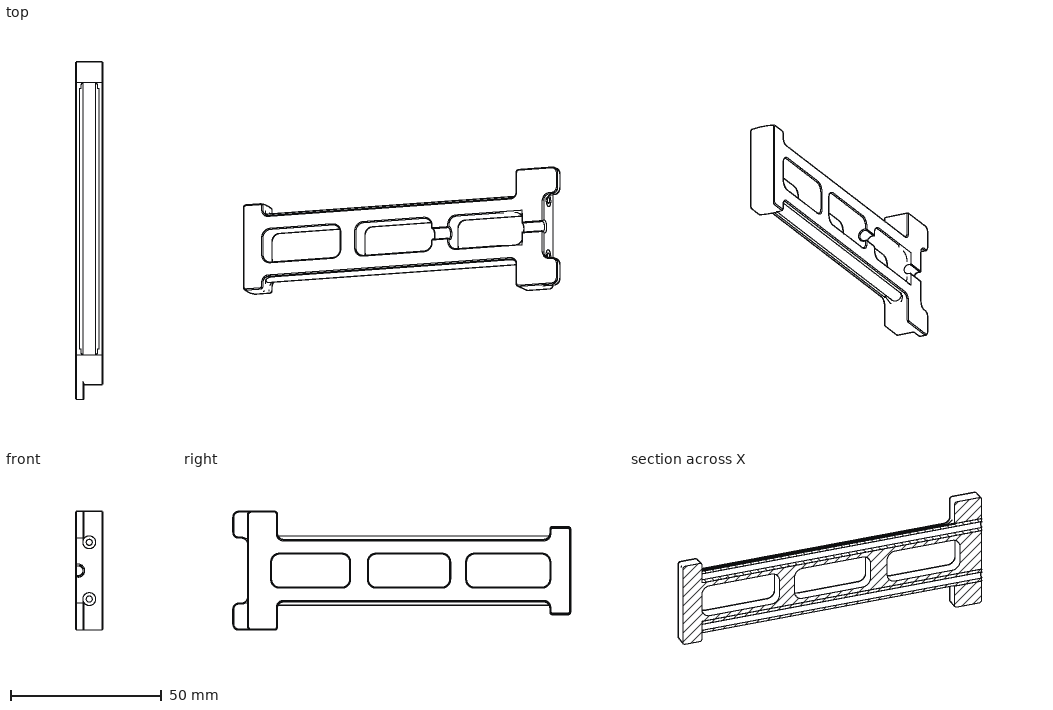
import cadquery as cq
import math

LENGTH = 112.0
HEIGHT = 39.4
THICKNESS = 9.0
Y_BACK = LENGTH / 2
Y_TIP = -LENGTH / 2
X_OUTER = -THICKNESS / 2

BACK_BLOCK_LENGTH = 7.0
BACK_BLOCK_HEIGHT = 29.3
RAIL_HEIGHT = 21.0
CROWN = 0.3
HEAD_LENGTH = 9.9
PRONG_LENGTH = 4.9
PRONG_THICKNESS = 2.8
PRONG_GAP = 21.5
ROOT_RADIUS = 2.0
PRONG_RADIUS = 2.0
CORNER_RADIUS = 0.9
HEAD_FRONT_RADIUS = 1.1
EDGE_CHAMFER = 0.3
NOTCH_BEVEL = 0.6

Y_BACK_BLOCK = Y_BACK - BACK_BLOCK_LENGTH
Y_HEAD_FRONT = Y_TIP + PRONG_LENGTH
Y_HEAD_REAR = Y_HEAD_FRONT + HEAD_LENGTH

WINDOWS = [(21.5, 49.0), (-11.1, 15.9), (-43.1, -17.2)]
WINDOW_HEIGHT = 11.0
WINDOW_RADIUS = 2.7
WINDOW_CHAMFER = 0.3
SQUARE_END_DEPTH = 1.3
SQUARE_END_RADIUS = 0.1

RIB_CHANNEL_DIAMETER = 3.7
HEAD_CHANNEL_DIAMETER = 3.2
CHANNEL_AXIS_X = X_OUTER + 0.8
CHANNEL_LIP = 0.2
RIB_MOUTH_CHAMFER = 0.3
HEAD_MOUTH_CHAMFER = 0.6

ROD_DIAMETER = 4.3
ROD_BORE = 2.0
ROD_Z = 9.4
Y_ROD_BACK = Y_BACK_BLOCK

GROOVE_SLOPE = 57.0
GROOVE_FLARE_LIMIT = 3.4
GROOVE_END_WIDTH = 5.6
GROOVE_END_RADIUS = 1.1

REACH = 0.01


def rectangle(y_min, y_max, height, x_min, x_max):
    """Block between two Y and two X limits, centred on Z = 0."""
    return cq.Workplane("XY").box(
        x_max - x_min, y_max - y_min, height, centered=False
    ).translate((x_min, y_min, -height / 2))


def crowned_bar(y_min, y_max, height):
    """Bar along Y whose top and bottom are crowned across the thickness."""
    crest = height / 2
    shoulder = crest - CROWN
    section = (
        cq.Workplane("XZ", origin=(0, y_max, 0))
        .moveTo(X_OUTER, -shoulder)
        .threePointArc((0, -crest), (-X_OUTER, -shoulder))
        .lineTo(-X_OUTER, shoulder)
        .threePointArc((0, crest), (X_OUTER, shoulder))
        .close()
    )
    return section.extrude(y_max - y_min)


def cylinder(x, z, diameter, y_min, y_max):
    """Cylinder along Y."""
    axis = cq.Vector(0, 1, 0)
    return cq.Workplane(
        cq.Solid.makeCylinder(diameter / 2, y_max - y_min, cq.Vector(x, y_min, z), axis)
    )


def round_corners(body, y, half_height, radius):
    """Fillet the two edges across the thickness at (y, +half_height) and (y, -half_height)."""
    for z in (half_height, -half_height):
        corner = cq.selectors.BoxSelector(
            (-THICKNESS, y - REACH, z - CROWN), (THICKNESS, y + REACH, z + CROWN)
        )
        body = body.edges(corner).fillet(radius)
    return body


def make_profile():
    """Back block, rails and head at full thickness."""
    back = crowned_bar(Y_BACK_BLOCK, Y_BACK, BACK_BLOCK_HEIGHT)
    rails = crowned_bar(Y_HEAD_REAR, Y_BACK_BLOCK, RAIL_HEIGHT)
    head = rectangle(Y_HEAD_FRONT, Y_HEAD_REAR, HEIGHT, X_OUTER, -X_OUTER)
    slab = back.union(rails).union(head)
    slab = round_corners(slab, Y_BACK, BACK_BLOCK_HEIGHT / 2, CORNER_RADIUS)
    slab = round_corners(slab, Y_BACK_BLOCK, BACK_BLOCK_HEIGHT / 2, CORNER_RADIUS)
    slab = round_corners(slab, Y_HEAD_REAR, HEIGHT / 2, CORNER_RADIUS)
    slab = round_corners(slab, Y_HEAD_FRONT, HEIGHT / 2, HEAD_FRONT_RADIUS)
    slab = round_corners(slab, Y_BACK_BLOCK, RAIL_HEIGHT / 2, ROOT_RADIUS)
    slab = round_corners(slab, Y_HEAD_REAR, RAIL_HEIGHT / 2, ROOT_RADIUS)
    return slab.faces("<X or >X").chamfer(EDGE_CHAMFER)


def make_prong_plate():
    """Thin forked plate on the -X side of the head."""
    x_max = X_OUTER + PRONG_THICKNESS
    plate = rectangle(Y_TIP, Y_HEAD_REAR, HEIGHT, X_OUTER, x_max)
    plate = plate.cut(rectangle(Y_TIP, Y_HEAD_FRONT, PRONG_GAP, X_OUTER, x_max))
    plate = round_corners(plate, Y_HEAD_REAR, HEIGHT / 2, CORNER_RADIUS)
    plate = round_corners(plate, Y_TIP, HEIGHT / 2, PRONG_RADIUS)
    plate = round_corners(plate, Y_TIP, PRONG_GAP / 2, PRONG_RADIUS)
    plate = round_corners(plate, Y_HEAD_FRONT, PRONG_GAP / 2, PRONG_RADIUS)
    return plate.faces("<X or >X").chamfer(EDGE_CHAMFER)


def groove_prism(y_min, y_max, half_width_limit):
    """Groove above a rod: sides tangent to the rod, flaring up to a limiting half width."""
    slope = math.radians(GROOVE_SLOPE)
    floor_x = ROD_DIAMETER / 2 * math.sin(slope)
    floor_z = ROD_Z - ROD_DIAMETER / 2 * math.cos(slope)
    limit_z = floor_z + (half_width_limit - floor_x) * math.tan(slope)
    top_z = BACK_BLOCK_HEIGHT / 2 - CORNER_RADIUS
    section = cq.Workplane("XZ", origin=(0, y_max, 0)).polyline([
        (-floor_x, floor_z),
        (floor_x, floor_z),
        (half_width_limit, limit_z),
        (half_width_limit, top_z),
        (-half_width_limit, top_z),
        (-half_width_limit, limit_z),
    ])
    return section.close().extrude(y_max - y_min)


def make_groove():
    """Full flare along the straight rail, narrower with rounded ends up to both blocks."""
    flare = groove_prism(Y_HEAD_REAR + ROOT_RADIUS, Y_BACK_BLOCK - ROOT_RADIUS, GROOVE_FLARE_LIMIT)
    ends = groove_prism(Y_HEAD_REAR, Y_BACK_BLOCK, GROOVE_END_WIDTH / 2)
    return flare.union(ends.edges("|Z").fillet(GROOVE_END_RADIUS))


def cut_rod_seats(frame):
    """Round seats open to the front, with grooves that open them along the rails."""
    groove = make_groove()
    for side in (1, -1):
        frame = frame.cut(cylinder(0, side * ROD_Z, ROD_DIAMETER, Y_TIP, Y_ROD_BACK))
    return frame.cut(groove).cut(groove.mirror("XY"))


def cut_windows(frame):
    """Rounded windows with broken edges, the front one squared off at its outer end."""
    for y_min, y_max in WINDOWS:
        window = rectangle(y_min, y_max, WINDOW_HEIGHT, X_OUTER, -X_OUTER)
        window = window.edges("|X").fillet(WINDOW_RADIUS)
        frame = frame.cut(window)
        for x in (X_OUTER, -X_OUTER):
            rim = cq.selectors.BoxSelector(
                (x - REACH, y_min - REACH, -WINDOW_HEIGHT / 2 - REACH),
                (x + REACH, y_max + REACH, WINDOW_HEIGHT / 2 + REACH),
            )
            frame = frame.edges(rim).chamfer(WINDOW_CHAMFER)
    return frame.cut(make_square_end())


def make_square_end():
    """Flared front end of the front window: square at the -X face, rounded at its depth."""
    y_min = WINDOWS[-1][0]
    length = 3 * WINDOW_RADIUS

    def section(x, growth, radius):
        y_front = y_min - growth
        outline = cq.Sketch().rect(length + growth, WINDOW_HEIGHT + 2 * growth)
        outline = outline.vertices().fillet(radius)
        return outline.moved(cq.Location(cq.Vector(y_front + (length + growth) / 2, 0, x)))

    flared = cq.Workplane("YZ").placeSketch(
        section(X_OUTER, WINDOW_CHAMFER, SQUARE_END_RADIUS),
        section(X_OUTER + SQUARE_END_DEPTH, 0, WINDOW_RADIUS),
    )
    return flared.loft(ruled=True)


def make_channel(y_min, y_max, diameter):
    """Round channel open to the -X face, with bevelled lips along that face."""
    radius = diameter / 2
    lips = cq.Workplane("XZ", origin=(0, y_max, 0)).polyline([
        (X_OUTER, -radius - CHANNEL_LIP),
        (X_OUTER, radius + CHANNEL_LIP),
        (X_OUTER + CHANNEL_LIP, radius),
        (X_OUTER + CHANNEL_LIP, -radius),
    ]).close().extrude(y_max - y_min)
    return cylinder(CHANNEL_AXIS_X, 0, diameter, y_min, y_max).union(lips)


def make_mouth(y, direction, diameter, chamfer):
    """Conical flare of a channel mouth at y, narrowing along the Y direction (+1 or -1)."""
    radius = diameter / 2
    return cq.Workplane(cq.Solid.makeCone(
        radius + chamfer, radius, chamfer,
        cq.Vector(CHANNEL_AXIS_X, y, 0), cq.Vector(0, direction, 0),
    ))


def cut_rib_channel(frame):
    """Channel across the rib between the two front windows, flared at both ends."""
    y_min = WINDOWS[2][1]
    y_max = WINDOWS[1][0]
    frame = frame.cut(make_channel(y_min, y_max, RIB_CHANNEL_DIAMETER))
    frame = frame.cut(make_mouth(y_min, 1, RIB_CHANNEL_DIAMETER, RIB_MOUTH_CHAMFER))
    return frame.cut(make_mouth(y_max, -1, RIB_CHANNEL_DIAMETER, RIB_MOUTH_CHAMFER))


def cut_head_channel(frame):
    """Channel through the head into the front window, flared at the front."""
    frame = frame.cut(make_channel(Y_HEAD_FRONT, WINDOWS[2][0], HEAD_CHANNEL_DIAMETER))
    return frame.cut(make_mouth(Y_HEAD_FRONT, 1, HEAD_CHANNEL_DIAMETER, HEAD_MOUTH_CHAMFER))


def cut_notch_bevel(frame):
    """Longer bevel on the straight bottom edge of the notch between the prongs."""
    half_width = PRONG_GAP / 2 - PRONG_RADIUS
    bevel = cq.Workplane("XY", origin=(0, 0, -half_width)).polyline([
        (X_OUTER, Y_HEAD_FRONT),
        (X_OUTER + EDGE_CHAMFER, Y_HEAD_FRONT),
        (X_OUTER, Y_HEAD_FRONT + NOTCH_BEVEL),
    ])
    return frame.cut(bevel.close().extrude(2 * half_width))


def make_frame():
    """Complete frame with its seats, windows and channels."""
    frame = make_profile().union(make_prong_plate())
    frame = cut_rod_seats(frame)
    frame = cut_windows(frame)
    frame = cut_rib_channel(frame)
    frame = cut_head_channel(frame)
    return cut_notch_bevel(frame)


def make_rod(z):
    """Tubular rod from the front of the head to the back block."""
    rod = cylinder(0, z, ROD_DIAMETER, Y_HEAD_FRONT, Y_ROD_BACK)
    return rod.cut(cylinder(0, z, ROD_BORE, Y_HEAD_FRONT, Y_ROD_BACK))


frame = make_frame()
rods = [make_rod(side * ROD_Z) for side in (1, -1)]

result = cq.Compound.makeCompound([frame.val(), *[rod.val() for rod in rods]])